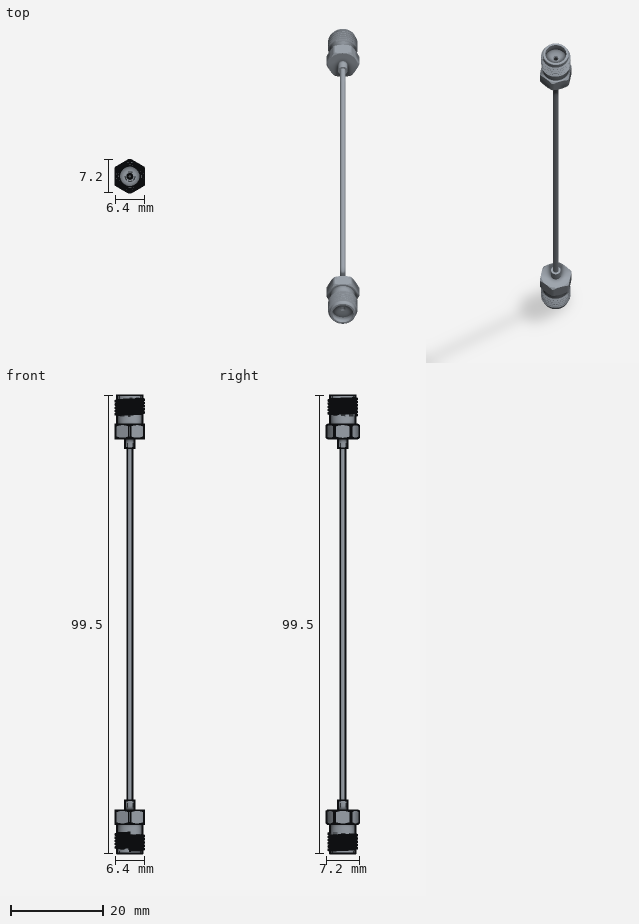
import cadquery as cq
import math

overall_length = 99.5

hex_start = 6.4
hex_length = 3.1
hex_end = hex_start + hex_length
ferrule_length = 2.1
connector_length = hex_end + ferrule_length

barrel_diameter = 5.6
mouth_chamfer = 0.1
hex_across_flats = 6.4
hex_trim_diameter = 7.2
hex_face_diameter = hex_across_flats
hex_chamfer_height = 0.3
ferrule_diameter = 2.1

thread_diameter = 6.4
thread_pitch = 0.7
thread_base = 0.68
thread_crest = 0.05
thread_embed = 0.1
thread_start = 0.85
thread_turns = 5
thread_start_angle = 270.0

bore_diameter = 4.6
bore_depth = 1.8
socket_rim_diameter = 1.1
socket_rim_depth = 0.2
socket_diameter = 0.92
socket_depth = 2.0

cable_diameter = 1.2
cable_start = hex_end


def rod(diameter, start, end):
    """Cylinder on the Z axis between two heights."""
    return cq.Workplane("XY").workplane(offset=start).circle(diameter / 2).extrude(end - start)


def make_thread():
    """Helical ridge of trapezoidal section whose base sinks slightly into the barrel."""
    inner = barrel_diameter / 2 - thread_embed
    crest = thread_diameter / 2
    half_base = thread_base / 2
    half_crest = thread_crest / 2
    helix = cq.Wire.makeHelix(thread_pitch, thread_turns * thread_pitch, inner)
    section = [(inner, -half_base), (crest, -half_crest), (crest, half_crest), (inner, half_base)]
    ridge = cq.Workplane("XZ").polyline(section).close().sweep(cq.Workplane(helix), isFrenet=True)
    return ridge.rotate((0, 0, 0), (0, 0, 1), thread_start_angle).translate((0, 0, thread_start))


def make_barrel():
    """Threaded barrel with a chamfered mouth."""
    barrel = rod(barrel_diameter, 0, hex_start).faces("<Z").chamfer(mouth_chamfer)
    return barrel.union(make_thread())


def make_hex():
    """Hexagon with corners on Y, rounded off and bevelled at its corners."""
    across_corners = hex_across_flats / math.cos(math.pi / 6)
    hexagon = (
        cq.Workplane("XY").workplane(offset=hex_start)
        .polygon(6, across_corners).extrude(hex_length)
        .rotate((0, 0, 0), (0, 0, 1), 90)
    )
    trim_radius = hex_trim_diameter / 2
    face_radius = hex_face_diameter / 2
    envelope = (
        cq.Workplane("XZ")
        .polyline([
            (0, hex_start),
            (face_radius, hex_start),
            (trim_radius, hex_start + hex_chamfer_height),
            (trim_radius, hex_end - hex_chamfer_height),
            (face_radius, hex_end),
            (0, hex_end),
        ])
        .close().revolve(360, (0, 0, 0), (0, 1, 0))
    )
    return hexagon.intersect(envelope)


def make_connector():
    """Connector with its mating face at Z = 0 and its cable end upward."""
    body = make_barrel().union(make_hex()).union(rod(ferrule_diameter, hex_end, connector_length))
    body = body.cut(rod(bore_diameter, 0, bore_depth))
    body = body.cut(rod(socket_rim_diameter, bore_depth, bore_depth + socket_rim_depth))
    body = body.cut(rod(socket_diameter, bore_depth, bore_depth + socket_depth))
    return body.cut(rod(cable_diameter, cable_start, connector_length))


def make_cable():
    """Cable seated in the ferrules of both connectors."""
    return rod(cable_diameter, cable_start, overall_length - cable_start)


connector_places = [(0, 0), (180, overall_length)]
connectors = []
for turn, face_height in connector_places:
    placed = make_connector().rotate((0, 0, 0), (1, 0, 0), turn).translate((0, 0, face_height))
    connectors.append(placed.val())

cable = make_cable()
result = cq.Compound.makeCompound([*connectors, cable.val()])